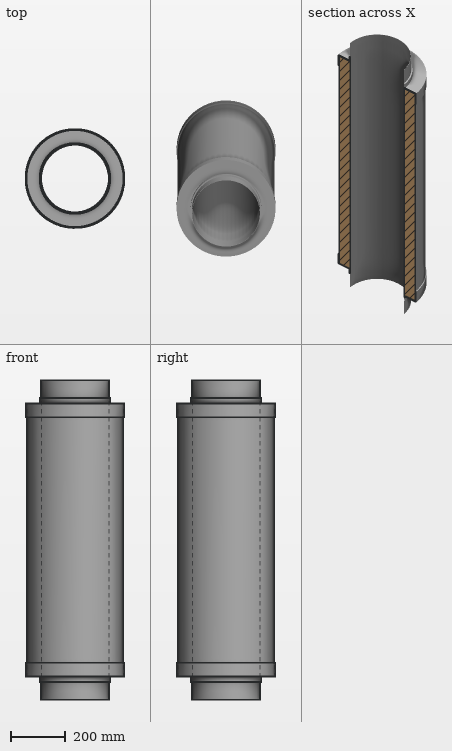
import cadquery as cq

total_height = 1170.0
cap_diameter = 362.5

spigot_diameter = 249.5
spigot_length = 65.0
collar_diameter = 259.5
collar_length = 20.0
cap_depth = 50.0
sheet = 1.0

casing_diameter = 355.0

spigot_top = total_height / 2
collar_top = spigot_top - spigot_length
cap_top = collar_top - collar_length
cap_bottom = cap_top - cap_depth

spigot_bore_diameter = spigot_diameter - 2 * sheet
core_bore_diameter = spigot_bore_diameter
collar_bore_diameter = collar_diameter - 2 * sheet
collar_underside = collar_top - sheet
cap_underside = cap_top - sheet


def tube(outer_diameter, inner_diameter, bottom, top):
    """Hollow cylinder around Z between two heights."""
    return (
        cq.Workplane("XY", origin=(0, 0, bottom))
        .circle(outer_diameter / 2)
        .circle(inner_diameter / 2)
        .extrude(top - bottom)
    )


def make_core():
    """Thick-walled casing with a thin neck at each end that fits inside a collar."""
    casing = tube(casing_diameter, core_bore_diameter, -cap_underside, cap_underside)
    necks = tube(collar_bore_diameter, core_bore_diameter, -collar_underside, collar_underside)
    return casing.union(necks)


def make_end_fitting():
    """Upper fitting: skirted cap, raised collar and duct spigot in one piece."""
    skirt = tube(cap_diameter, casing_diameter, cap_bottom, cap_top)
    cap_plate = tube(cap_diameter, collar_bore_diameter, cap_underside, cap_top)
    collar = tube(collar_diameter, collar_bore_diameter, cap_underside, collar_top)
    shoulder = tube(collar_diameter, spigot_bore_diameter, collar_underside, collar_top)
    spigot = tube(spigot_diameter, spigot_bore_diameter, collar_underside, spigot_top)
    return skirt.union(cap_plate).union(collar).union(shoulder).union(spigot)


core = make_core()
upper_fitting = make_end_fitting()
end_fittings = [upper_fitting, upper_fitting.mirror("XY")]

result = cq.Compound.makeCompound([core.val(), *[fitting.val() for fitting in end_fittings]])